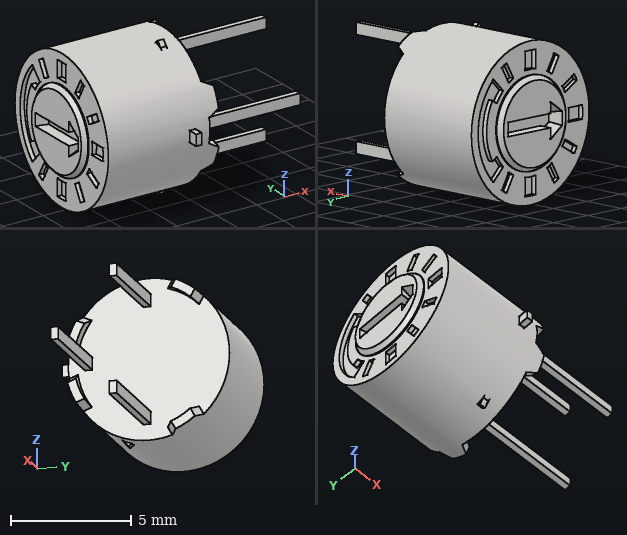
import cadquery as cq
import math


housing_front = 0.26
housing_back = 5.34
standoff_height = 0.52
lead_tip = 10.35
tab_front = 4.33
tab_thickness = 0.29

housing_diameter = 7.0
housing_radius = housing_diameter / 2
standoff_inner_diameter = 6.2
standoff_root_width = 1.57
standoff_tip_width = 0.97
standoff_angles = [-120, -22.5, 22.5, 120]

mark_depth = 0.22
mark_outer_diameter = 6.2
mark_inner_diameter = 4.57
wide_mark_width = 0.61
wide_mark_angles = [-90, 0, 90]
narrow_mark_width = 0.32
narrow_mark_angles = [-120, -60, -30, 30, 60, 120]
arc_inner_diameter = 5.2
arc_half_angle = 45
arc_step_half_angle = 30

lip_diameter = 4.1
lip_rim = 0.05
rotor_face_diameter = 3.71
hub_diameter = 4.0
hub_end = 1.24
slot_depth = 0.58
slot_width = 0.61
slot_tail = 1.58
slot_tail_slope = 0.15
head_base = -0.93
head_tip = -1.61
head_width = 1.59
head_tip_slope = 0.19
head_floor_width = 1.1
head_floor_tip_width = 0.41

lead_pitch = 2.54
lead_width = 0.54
lead_thickness = 0.32
outer_lead_y = -0.07
middle_tab_reach = 1.37
outer_tab_reach = 1.58
outer_tab_angle = 40.0


def turned(shape, angle):
    """Turn a shape about the X axis."""
    return shape.rotate((0, 0, 0), (1, 0, 0), angle)


def ring(outer_diameter, inner_diameter, start, length):
    """Ring round the X axis."""
    plane = cq.Workplane("YZ", origin=(start, 0, 0))
    return plane.circle(outer_diameter / 2).circle(inner_diameter / 2).extrude(length)


def wedge(half_angle, start, length):
    """Triangular prism round the +Y direction, reaching past the housing wall."""
    reach = housing_diameter
    half_width = reach * math.tan(math.radians(half_angle))
    plane = cq.Workplane("YZ", origin=(start, 0, 0))
    return plane.polyline([(0, 0), (reach, -half_width), (reach, half_width)]).close().extrude(length)


def make_standoff():
    """Tapered foot on the back rim, in the pointer direction."""
    root = standoff_root_width / 2
    tip = standoff_tip_width / 2
    end = housing_back + standoff_height
    profile = [(housing_back, -root), (end, -tip), (end, tip), (housing_back, root)]
    block = cq.Workplane("XZ").polyline(profile).close().extrude(housing_diameter)
    return block.intersect(ring(housing_diameter, standoff_inner_diameter, housing_back, standoff_height))


def make_mark(width):
    """Dial mark in the pointer direction, with ends that follow the dial circles."""
    bar = (
        cq.Workplane("YZ", origin=(housing_front, 0, 0))
        .center(-housing_radius / 2, 0)
        .rect(housing_radius, width)
        .extrude(mark_depth)
    )
    return bar.intersect(ring(mark_outer_diameter, mark_inner_diameter, housing_front, mark_depth))


def make_arc_mark():
    """Arc opposite the pointer direction, wider toward both ends."""
    whole = ring(mark_outer_diameter, mark_inner_diameter, housing_front, mark_depth)
    whole = whole.intersect(wedge(arc_half_angle, housing_front, mark_depth))
    step = ring(arc_inner_diameter, mark_inner_diameter, housing_front, mark_depth)
    step = step.intersect(wedge(arc_step_half_angle, housing_front, mark_depth))
    return whole.cut(step)


def make_slot():
    """Arrow-shaped slot: a straight shaft with a sloped tail end and a head with sloped sides."""
    shaft_profile = [
        (0, head_base),
        (0, slot_tail),
        (slot_depth, slot_tail - slot_tail_slope),
        (slot_depth, head_base),
    ]
    shaft = cq.Workplane("XY").polyline(shaft_profile).close().extrude(slot_width / 2, both=True)

    def head_outline(base_width, tip, tip_width):
        return [
            (head_base, base_width / 2),
            (tip, tip_width / 2),
            (tip, -tip_width / 2),
            (head_base, -base_width / 2),
        ]

    head = (
        cq.Workplane("YZ")
        .polyline(head_outline(head_width, head_tip, slot_width)).close()
        .workplane(offset=slot_depth)
        .polyline(head_outline(head_floor_width, head_tip + head_tip_slope, head_floor_tip_width)).close()
        .loft(ruled=True)
    )
    return shaft.union(head)


def make_rotor():
    """Rotor: a lip with a conical edge, resting on the housing, and a hub set into it."""
    half_profile = [
        (0, 0),
        (0, rotor_face_diameter / 2),
        (housing_front - lip_rim, lip_diameter / 2),
        (housing_front, lip_diameter / 2),
        (housing_front, hub_diameter / 2),
        (hub_end, hub_diameter / 2),
        (hub_end, 0),
    ]
    body = cq.Workplane("XY").polyline(half_profile).close().revolve(360, (0, 0, 0), (1, 0, 0))
    return body.cut(make_slot())


def make_lead(tab_reach, tab_angle=0, tab_root_z=0):
    """Straight lead along X with a flat tab at its inner end, turned about the tab root."""
    lead_length = lead_tip - tab_front
    lead = cq.Workplane("XY").box(lead_length, lead_thickness, lead_width, centered=(False, True, True))
    tab = (
        cq.Workplane("XY")
        .box(tab_thickness, tab_reach, lead_width, centered=(False, False, True))
        .translate((0, -tab_reach, 0))
    )
    tab = turned(tab, tab_angle).translate((0, 0, tab_root_z))
    return lead.union(tab).translate((tab_front, outer_lead_y, 0))


def make_leads():
    """Middle lead in the pointer direction and one outer lead on each side of it."""
    leads = [make_lead(middle_tab_reach).translate((0, -lead_pitch, 0))]
    for side in (1, -1):
        lead = make_lead(outer_tab_reach, -side * outer_tab_angle, -side * lead_width / 2)
        leads.append(lead.translate((0, 0, side * lead_pitch)))
    return leads


def make_housing(leads):
    """Round housing with standoffs, dial marks, and fitting holes for the rotor hub and the leads."""
    body = (
        cq.Workplane("YZ", origin=(housing_front, 0, 0))
        .circle(housing_radius)
        .extrude(housing_back - housing_front)
    )
    for angle in standoff_angles:
        body = body.union(turned(make_standoff(), angle))

    for angle in wide_mark_angles:
        body = body.cut(turned(make_mark(wide_mark_width), angle))
    for angle in narrow_mark_angles:
        body = body.cut(turned(make_mark(narrow_mark_width), angle))
    body = body.cut(make_arc_mark())

    hub_hole = cq.Workplane("YZ").circle(hub_diameter / 2).extrude(hub_end)
    body = body.cut(hub_hole)
    for lead in leads:
        body = body.cut(lead)
    return body


rotor = make_rotor()
leads = make_leads()
housing = make_housing(leads)

result = cq.Compound.makeCompound([housing.val(), rotor.val(), *[lead.val() for lead in leads]])